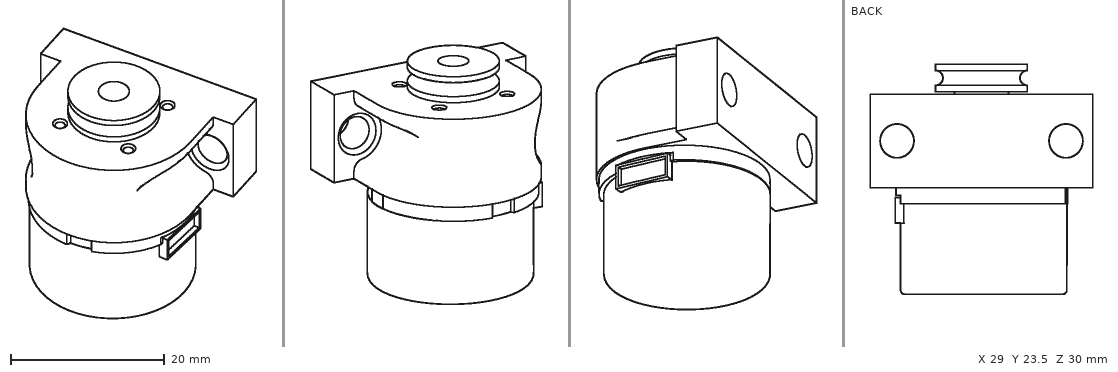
import cadquery as cq
import math

can_height = 11.82
housing_bottom = 13.9
housing_top = 26.1
hub_height = 0.3
pulley_top = 30.0
housing_height = housing_top - housing_bottom
ring_height = housing_bottom - can_height

bar_width = 29.0
bar_front = 6.0
bar_back = 12.0
barrel_radius = 11.5

mount_x = 11.0
mount_z = (housing_bottom + housing_top) / 2
mount_radius = 2.2
mount_chamfer = 0.65
groove_radius = 3.65
groove_edge_radius = 1.5

screw_offset = 5.13
screw_radius = 0.65
screw_chamfer = 0.3
countersink_angle = 90.0

shaft_radius = 2.0
hub_radius = 3.55
flange_radius = 6.0
flange_thickness = 0.85

can_radius = 10.85
can_x = -0.3
can_y = 0.2
can_fillet = 0.57
motor_turn = -4.0
ring_radius = 11.15
pad_radius = 11.25
pad_front = -1.68
pad_back = 1.47

window_left = 0.12
window_right = 4.08
window_depth = 0.5
left_taper = 0.3
right_taper = 0.4

connector_inner = 9.75
connector_outer = 11.0
connector_length = 7.8
connector_bottom = 9.27
connector_top = 12.63
socket_wall = 0.35
socket_depth = 0.75
notch_inner = 10.3
notch_top = 12.9


def block(x_range, y_range, z_range):
    """Box between the given limits."""
    size = [high - low for low, high in (x_range, y_range, z_range)]
    return cq.Workplane("XY").box(*size, centered=False).translate((x_range[0], y_range[0], z_range[0]))


def cylinder(radius, bottom, top):
    """Upright cylinder on the shaft axis."""
    return cq.Workplane("XY", origin=(0, 0, bottom)).circle(radius).extrude(top - bottom)


def turned(body):
    """Turn a body about the shaft axis into the motor's frame."""
    return body.rotate((0, 0, 0), (0, 0, 1), motor_turn)


def along_y(x, radius, y_start, y_end):
    """Cylinder parallel to Y at the height of the mounting holes."""
    start = cq.Vector(x, y_start, mount_z)
    return cq.Workplane(cq.Solid.makeCylinder(radius, y_end - y_start, start, cq.Vector(0, 1, 0)))


def grooved_barrel():
    """D-shaped body with a rounded-edge groove along each side."""
    barrel = (
        cq.Workplane("XY", origin=(0, 0, housing_bottom))
        .moveTo(-barrel_radius, bar_back)
        .lineTo(-barrel_radius, 0)
        .threePointArc((0, -barrel_radius), (barrel_radius, 0))
        .lineTo(barrel_radius, bar_back)
        .close()
        .extrude(housing_height)
    )
    for side in (-1, 1):
        barrel = barrel.cut(along_y(side * mount_x, groove_radius, -barrel_radius, bar_back))
    groove_edges = [
        edge
        for face in barrel.faces("%CYLINDER").vals()
        if abs(face.Center().x) > barrel_radius / 2
        for edge in face.Edges()
        if edge.Center().y < bar_back
    ]
    return barrel.newObject(groove_edges).fillet(groove_edge_radius)


def make_housing():
    """Barrel and mounting bar with mounting, screw and shaft holes."""
    bar = block((-bar_width / 2, bar_width / 2), (bar_front, bar_back), (housing_bottom, housing_top))
    housing = grooved_barrel().union(bar)
    for side in (-1, 1):
        housing = housing.cut(along_y(side * mount_x, mount_radius, bar_front, bar_back))
        countersink = cq.Solid.makeCone(
            mount_radius + mount_chamfer, mount_radius, mount_chamfer,
            cq.Vector(side * mount_x, bar_front, mount_z), cq.Vector(0, 1, 0),
        )
        housing = housing.cut(cq.Workplane(countersink))
    housing = (
        housing.cut(cylinder(shaft_radius, housing_bottom, housing_top))
        .faces(">Z").workplane(origin=(0, 0, housing_top))
        .rect(2 * screw_offset, 2 * screw_offset, forConstruction=True).vertices()
        .cskHole(2 * screw_radius, 2 * (screw_radius + screw_chamfer), countersink_angle)
    )
    return housing


def make_pulley():
    """Round-grooved pulley with a short hub, bored for the shaft."""
    flange_bottom = housing_top + hub_height
    groove_bottom = flange_bottom + flange_thickness
    groove_top = pulley_top - flange_thickness
    rope_radius = (groove_top - groove_bottom) / 2
    groove_middle = groove_bottom + rope_radius
    groove_floor = flange_radius - rope_radius
    arc_reach = rope_radius * math.cos(math.pi / 4)
    return (
        cq.Workplane("XZ")
        .moveTo(shaft_radius, housing_top)
        .lineTo(hub_radius, housing_top)
        .lineTo(hub_radius, flange_bottom)
        .lineTo(flange_radius, flange_bottom)
        .lineTo(flange_radius, groove_bottom)
        .threePointArc((flange_radius - arc_reach, groove_middle - arc_reach), (groove_floor, groove_middle))
        .threePointArc((flange_radius - arc_reach, groove_middle + arc_reach), (flange_radius, groove_top))
        .lineTo(flange_radius, pulley_top)
        .lineTo(shaft_radius, pulley_top)
        .close()
        .revolve(360, (0, 0, 0), (0, 1, 0))
    )


def make_shaft():
    """Shaft from the top of the can to the top of the pulley."""
    return cylinder(shaft_radius, can_height, pulley_top)


def connector_block():
    """Outer block of the connector in the motor's frame."""
    half_length = connector_length / 2
    return block(
        (connector_inner, connector_outer), (-half_length, half_length), (connector_bottom, connector_top)
    )


def make_connector():
    """Connector block with a rectangular socket in its outer face."""
    half_socket = connector_length / 2 - socket_wall
    socket = block(
        (connector_outer - socket_depth, connector_outer),
        (-half_socket, half_socket),
        (connector_bottom + socket_wall, connector_top - socket_wall),
    )
    return turned(connector_block().cut(socket))


def make_can():
    """Motor can with a rounded bottom edge and a seat for the connector."""
    can = cylinder(can_radius, 0, can_height).translate((can_x, can_y, 0))
    return can.faces("<Z").edges().fillet(can_fillet).cut(turned(connector_block()))


def make_ring():
    """Motor ring with a side pad, a front window and a notch over the connector."""
    pad_limits = block((-pad_radius, 0), (pad_front, pad_back), (can_height, housing_bottom))
    pad = cylinder(pad_radius, can_height, housing_bottom).intersect(pad_limits)
    window = (
        cq.Workplane("XY", origin=(0, 0, can_height))
        .polyline([
            (window_left - left_taper, -ring_radius - window_depth),
            (window_right + right_taper, -ring_radius - window_depth),
            (window_right - 2 * right_taper, -ring_radius + 2 * window_depth),
            (window_left + 2 * left_taper, -ring_radius + 2 * window_depth),
        ])
        .close()
        .extrude(ring_height)
        .cut(cylinder(ring_radius - window_depth, can_height, housing_bottom))
    )
    notch = block((notch_inner, ring_radius), (-ring_radius, ring_radius), (can_height, notch_top))
    ring = cylinder(ring_radius, can_height, housing_bottom).union(pad).cut(window).cut(notch)
    ring = ring.cut(connector_block()).cut(cylinder(shaft_radius, can_height, housing_bottom))
    return turned(ring)


housing = make_housing()
pulley = make_pulley()
shaft = make_shaft()
can = make_can()
ring = make_ring()
connector = make_connector()

result = cq.Compound.makeCompound(
    [housing.val(), pulley.val(), shaft.val(), can.val(), ring.val(), connector.val()]
)